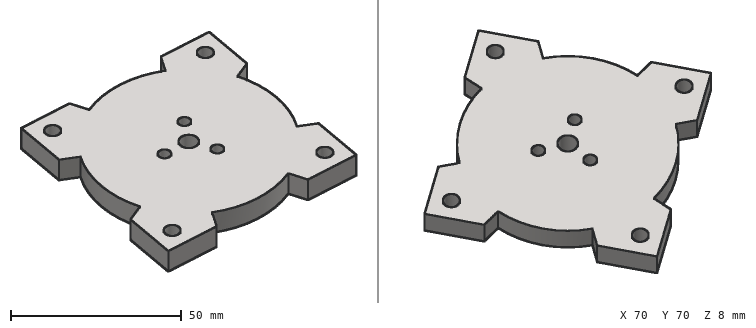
import cadquery as cq
import math

side = 70.0
thickness = 8.0
disc_radius = 32.5

notch_half_angle = math.radians(25.9)

corner_hole_diameter = 5.0
corner_hole_offset = 28.4
centre_hole_diameter = 6.0
small_hole_diameter = 4.0
small_hole_circle_radius = 9.0
small_hole_count = 3
first_small_hole_angle = -90.0


def corner_plate():
    """Square plate with a wedge open to the centre removed from each side."""
    half_side = side / 2
    notch_half_width = half_side * math.tan(notch_half_angle)
    plate = cq.Workplane("XY").rect(side, side).extrude(thickness)
    wedge = (
        cq.Workplane("XY")
        .polyline([(0, 0), (half_side, -notch_half_width), (half_side, notch_half_width)])
        .close()
        .extrude(thickness)
    )
    for quarter_turn in range(4):
        plate = plate.cut(wedge.rotate((0, 0, 0), (0, 0, 1), 90 * quarter_turn))
    return plate


def hole_cutters():
    """Centre hole, ring of small holes and corner mounting holes."""
    centre = cq.Workplane("XY").circle(centre_hole_diameter / 2).extrude(thickness)
    ring = (
        cq.Workplane("XY")
        .polarArray(small_hole_circle_radius, first_small_hole_angle, 360, small_hole_count)
        .circle(small_hole_diameter / 2)
        .extrude(thickness)
    )
    corners = (
        cq.Workplane("XY")
        .rect(2 * corner_hole_offset, 2 * corner_hole_offset, forConstruction=True)
        .vertices()
        .circle(corner_hole_diameter / 2)
        .extrude(thickness)
    )
    return [centre, ring, corners]


result = cq.Workplane("XY").circle(disc_radius).extrude(thickness).union(corner_plate())
for cutter in hole_cutters():
    result = result.cut(cutter)